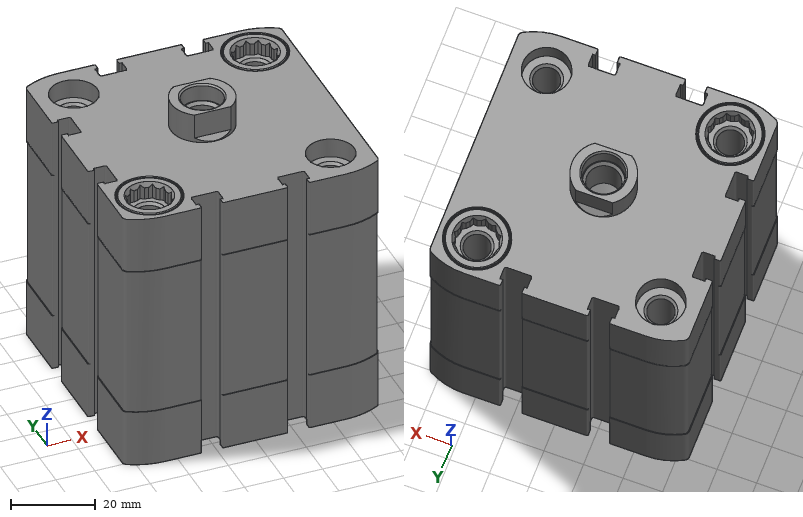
import cadquery as cq
import math

WIDTH = 65.5
TOTAL_HEIGHT = 77.7
CAP_HEIGHT = 15.0
BARREL_HEIGHT = 40.0
BARREL_RECESS = 0.2

CORNER_ARC_RADIUS = 18.25
CORNER_FILLET = 1.5

SLOT_SPACING = 22.15
SLOT_OPENING = 5.45
SLOT_INNER_WIDTH = 6.9
SLOT_LIP = 1.7
SLOT_DEPTH = 5.0
SLOT_MOUTH_FILLET = 0.3
SLOT_FLOOR_FILLET = 0.5

BOLT_SPACING = 46.5
BOLT_HOLE_DIAMETER = 6.7
BOLT_CHAMFER_DIAMETER = 8.0
COUNTERBORE_DIAMETER = 12.0
COUNTERBORE_DEPTH = 5.05

HEAD_RECESS_MOUTH = 16.4
HEAD_RECESS_DIAMETER = 16.0
HEAD_DIAMETER = 15.5
HEAD_FACE_DIAMETER = 15.0
HEAD_GROOVE_DEPTH = 1.0
SOCKET_MOUTH_DIAMETER = 12.0
SOCKET_BORE_DIAMETER = 10.5
SOCKET_CORNER_DIAMETER = 11.35
SOCKET_MOUTH_ANGLE = 30.0
SOCKET_DEPTH = 4.4

ROD_DIAMETER = 16.0
ROD_FLAT_WIDTH = 13.0
ROD_FLAT_HEIGHT = 6.5
ROD_FLAT_RUNOUT = 1.0
ROD_BORE_DIAMETER = 8.55
ROD_BORE_DEPTH = 15.55
ROD_POINT_ANGLE = 118.0
ROD_COUNTERBORE_DIAMETER = 10.5
ROD_COUNTERBORE_DEPTH = 4.6
ROD_BORE_CHAMFER_DIAMETER = 10.0
ROD_MOUTH_DIAMETER = 11.35

HALF = WIDTH / 2
HOUSING_HEIGHT = 2 * CAP_HEIGHT + BARREL_HEIGHT
BARREL_TOP = CAP_HEIGHT + BARREL_HEIGHT
BOLT = BOLT_SPACING / 2
ROD_SEAT = BARREL_TOP
PLAIN_CORNERS = [(-BOLT, BOLT), (BOLT, -BOLT)]
SOCKET_CORNERS = [(-BOLT, -BOLT), (BOLT, BOLT)]


def revolved(profile):
    """Solid of revolution about Z from (radius, z) points."""
    return cq.Workplane("XZ").polyline(profile).close().revolve(360, (0, 0, 0), (0, 1, 0))


def countersink(mouth_diameter, end_diameter, z_top):
    """45 degree countersink that narrows downwards from z_top."""
    mouth = mouth_diameter / 2
    end = end_diameter / 2
    z_end = z_top - (mouth - end)
    return revolved([(0, z_top), (mouth, z_top), (end, z_end), (0, z_end)])


def cylinder(diameter, z_low, z_high):
    """Cylinder on the Z axis between two heights."""
    return cq.Workplane("XY").workplane(offset=z_low).circle(diameter / 2).extrude(z_high - z_low)


def profile_block(inset, z_low, height):
    """Slice of the rounded housing outline, moved inwards by inset."""
    side = HALF - inset
    radius = CORNER_ARC_RADIUS - inset
    center_x = BOLT
    center_y = HALF - CORNER_ARC_RADIUS
    end_dx = side - center_x
    end_y = center_y + math.sqrt(radius**2 - end_dx**2)
    mid_angle = math.pi / 2 - math.asin(end_dx / radius) / 2
    mid = (center_x + radius * math.cos(mid_angle), center_y + radius * math.sin(mid_angle))
    outline = (
        cq.Workplane("XY").workplane(offset=z_low)
        .moveTo(-center_x, side)
        .lineTo(center_x, side)
        .threePointArc(mid, (side, end_y))
        .lineTo(side, -end_y)
        .threePointArc((mid[0], -mid[1]), (center_x, -side))
        .lineTo(-center_x, -side)
        .threePointArc((-mid[0], -mid[1]), (-side, -end_y))
        .lineTo(-side, end_y)
        .threePointArc((-mid[0], mid[1]), (-center_x, side))
        .close()
        .extrude(height)
    )
    corner_edges = outline.edges("|Z").edges("<X or >X")
    return corner_edges.fillet(CORNER_FILLET - inset)


def t_slot(x, turn, inset, z_low, height):
    """T-slot cutter at x on the -Y side, turned about Z, for a slice moved in by inset."""
    mouth = SLOT_OPENING / 2
    inner = SLOT_INNER_WIDTH / 2
    face_y = inset - HALF
    lip_y = SLOT_LIP - HALF
    floor_y = SLOT_DEPTH - HALF
    flare = SLOT_MOUTH_FILLET
    corner = SLOT_FLOOR_FILLET
    cutter = (
        cq.Workplane("XY").workplane(offset=z_low)
        .moveTo(-mouth - flare, face_y)
        .radiusArc((-mouth, face_y + flare), -flare)
        .lineTo(-mouth, lip_y)
        .lineTo(-inner, lip_y)
        .lineTo(-inner, floor_y - corner)
        .radiusArc((corner - inner, floor_y), corner)
        .lineTo(inner - corner, floor_y)
        .radiusArc((inner, floor_y - corner), corner)
        .lineTo(inner, lip_y)
        .lineTo(mouth, lip_y)
        .lineTo(mouth, face_y + flare)
        .radiusArc((mouth + flare, face_y), -flare)
        .close()
        .extrude(height)
    )
    return cutter.translate((x, 0, 0)).rotate((0, 0, 0), (0, 0, 1), turn)


def slotted_slice(inset, z_low, height):
    """Outline slice with its T-slots on the -Y, -X and +Y sides; the +X side is plain."""
    block = profile_block(inset, z_low, height)
    for turn in (0, -90, 180):
        for x in (-SLOT_SPACING / 2, SLOT_SPACING / 2):
            block = block.cut(t_slot(x, turn, inset, z_low, height))
    return block


def plain_hole():
    """Counterbored through hole."""
    floor = HOUSING_HEIGHT - COUNTERBORE_DEPTH
    return (
        cylinder(BOLT_HOLE_DIAMETER, 0, HOUSING_HEIGHT)
        .union(cylinder(COUNTERBORE_DIAMETER, floor, HOUSING_HEIGHT))
        .union(countersink(BOLT_CHAMFER_DIAMETER, BOLT_HOLE_DIAMETER, floor))
    )


def head_groove():
    """Ring groove, chamfered on both rims, that leaves a round head flush with the cap."""
    mouth_chamfer = (HEAD_RECESS_MOUTH - HEAD_RECESS_DIAMETER) / 2
    head_chamfer = (HEAD_DIAMETER - HEAD_FACE_DIAMETER) / 2
    bottom = HOUSING_HEIGHT - HEAD_GROOVE_DEPTH
    return revolved([
        (HEAD_FACE_DIAMETER / 2, HOUSING_HEIGHT),
        (HEAD_RECESS_MOUTH / 2, HOUSING_HEIGHT),
        (HEAD_RECESS_DIAMETER / 2, HOUSING_HEIGHT - mouth_chamfer),
        (HEAD_RECESS_DIAMETER / 2, bottom),
        (HEAD_DIAMETER / 2, bottom),
        (HEAD_DIAMETER / 2, HOUSING_HEIGHT - head_chamfer),
    ])


def socket_hole():
    """Twelve-point socket with a tapered mouth above a through hole."""
    floor = HOUSING_HEIGHT - SOCKET_DEPTH
    mouth_radius = SOCKET_MOUTH_DIAMETER / 2
    bore_radius = SOCKET_BORE_DIAMETER / 2
    taper_height = (mouth_radius - bore_radius) / math.tan(math.radians(SOCKET_MOUTH_ANGLE))
    taper_floor = HOUSING_HEIGHT - taper_height
    cutter = revolved([
        (0, HOUSING_HEIGHT),
        (mouth_radius, HOUSING_HEIGHT),
        (bore_radius, taper_floor),
        (bore_radius, floor),
        (0, floor),
    ])
    for turn in (0, 30):
        hexagon = (
            cq.Workplane("XY").workplane(offset=floor)
            .polygon(6, SOCKET_CORNER_DIAMETER).extrude(SOCKET_DEPTH)
            .rotate((0, 0, 0), (0, 0, 1), turn)
        )
        cutter = cutter.union(hexagon)
    return (
        cutter
        .union(countersink(BOLT_CHAMFER_DIAMETER, BOLT_HOLE_DIAMETER, floor))
        .union(cylinder(BOLT_HOLE_DIAMETER, 0, HOUSING_HEIGHT))
    )


def make_housing():
    body = (
        slotted_slice(0, 0, CAP_HEIGHT)
        .union(slotted_slice(BARREL_RECESS, CAP_HEIGHT, BARREL_HEIGHT))
        .union(slotted_slice(0, BARREL_TOP, CAP_HEIGHT))
    )
    for x, y in PLAIN_CORNERS:
        body = body.cut(plain_hole().translate((x, y, 0)))
    for x, y in SOCKET_CORNERS:
        body = body.cut(head_groove().translate((x, y, 0)))
        body = body.cut(socket_hole().translate((x, y, 0)))
    return body.cut(cylinder(ROD_DIAMETER, ROD_SEAT, HOUSING_HEIGHT))


def flat_cutter():
    """Wrench flat on the +Y side, with a sloped run-out at its lower end."""
    flat_y = ROD_FLAT_WIDTH / 2
    outer_y = ROD_DIAMETER / 2
    flat_z = TOTAL_HEIGHT - ROD_FLAT_HEIGHT
    return (
        cq.Workplane("YZ")
        .moveTo(flat_y, TOTAL_HEIGHT)
        .lineTo(flat_y, flat_z)
        .lineTo(outer_y, flat_z - ROD_FLAT_RUNOUT)
        .lineTo(outer_y, TOTAL_HEIGHT)
        .close()
        .extrude(ROD_DIAMETER / 2, both=True)
    )


def rod_bore():
    """Blind drilled bore with a counterbore and chamfered edges."""
    point = ROD_BORE_DIAMETER / 2 / math.tan(math.radians(ROD_POINT_ANGLE / 2))
    bore_floor = TOTAL_HEIGHT - ROD_BORE_DEPTH
    counterbore_floor = TOTAL_HEIGHT - ROD_COUNTERBORE_DEPTH
    return (
        cylinder(ROD_BORE_DIAMETER, bore_floor, TOTAL_HEIGHT)
        .union(revolved([(0, bore_floor), (ROD_BORE_DIAMETER / 2, bore_floor), (0, bore_floor - point)]))
        .union(cylinder(ROD_COUNTERBORE_DIAMETER, counterbore_floor, TOTAL_HEIGHT))
        .union(countersink(ROD_BORE_CHAMFER_DIAMETER, ROD_BORE_DIAMETER, counterbore_floor))
        .union(countersink(ROD_MOUTH_DIAMETER, ROD_COUNTERBORE_DIAMETER, TOTAL_HEIGHT))
    )


def make_rod():
    rod = cylinder(ROD_DIAMETER, ROD_SEAT, TOTAL_HEIGHT)
    for turn in (0, 180):
        rod = rod.cut(flat_cutter().rotate((0, 0, 0), (0, 0, 1), turn))
    return rod.cut(rod_bore())


housing = make_housing()
piston_rod = make_rod()
result = cq.Compound.makeCompound([housing.val(), piston_rod.val()])